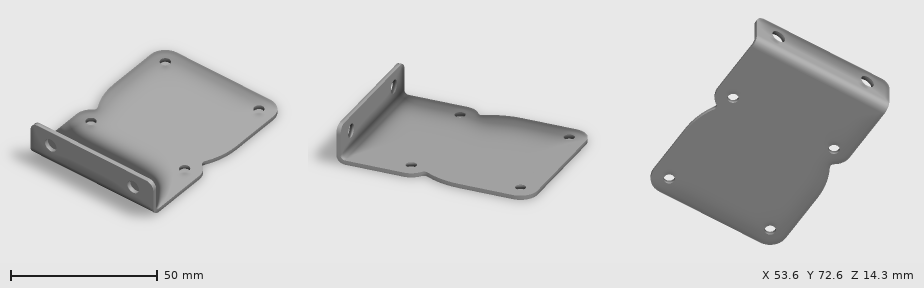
import cadquery as cq

width = 53.6
length = 72.55
height = 14.3
thickness = 1.6
bend_outer_radius = 3.2
bend_inner_radius = bend_outer_radius - thickness
flange_corner_radius = 3.1

plate_hole_diameter = 3.85
plate_hole_spacing = 40.9
corner_radius = (width - plate_hole_spacing) / 2
pattern_center_y = length - width / 2
notch_radius = 1.5

flange_hole_diameter = 5.1
flange_hole_spacing = 36.0
flange_hole_z = 8.55


def make_folded_sheet():
    """L-shaped sheet with concentric bend radii."""
    profile = (
        cq.Workplane("YZ")
        .polyline([(0, 0), (length, 0), (length, thickness), (thickness, thickness),
                   (thickness, height), (0, height)])
        .close()
        .extrude(width / 2, both=True)
    )
    bent = profile.edges(cq.selectors.NearestToPointSelector((0, 0, 0))).fillet(bend_outer_radius)
    inner_corner = cq.selectors.NearestToPointSelector((0, thickness, thickness))
    return bent.edges(inner_corner).fillet(bend_inner_radius)


def make_plate_outline():
    """Round middle joined to two rounded ends, with a blended notch on each side."""
    front_end_length = pattern_center_y - plate_hole_spacing / 2 + corner_radius
    front_end = (
        cq.Workplane("XY")
        .rect(width, 2 * front_end_length)
        .extrude(height)
        .edges("|Z and >Y")
        .fillet(corner_radius)
    )
    rear_end = (
        cq.Workplane("XY")
        .center(0, pattern_center_y)
        .rect(width, width)
        .extrude(height)
        .edges("|Z and >Y")
        .fillet(corner_radius)
    )
    below_center = (
        cq.Workplane("XY")
        .center(0, pattern_center_y - width / 2)
        .rect(2 * width, width)
        .extrude(height)
    )
    round_middle = cq.Workplane("XY").center(0, pattern_center_y).circle(width / 2).extrude(height)
    outline = rear_end.cut(below_center).union(round_middle).union(front_end)

    half_spacing = plate_hole_spacing / 2
    center_distance = half_spacing * 2**0.5
    along = (center_distance**2 + (width / 2) ** 2 - corner_radius**2) / (2 * center_distance)
    across = ((width / 2) ** 2 - along**2) ** 0.5
    notch_x = (along + across) / 2**0.5
    notch_y = pattern_center_y - (along - across) / 2**0.5
    for x in (-notch_x, notch_x):
        root = cq.selectors.NearestToPointSelector((x, notch_y, height / 2))
        outline = outline.edges("|Z").edges(root).fillet(notch_radius)
    return outline


def make_plate_holes():
    return (
        cq.Workplane("XY")
        .center(0, pattern_center_y)
        .rect(plate_hole_spacing, plate_hole_spacing, forConstruction=True)
        .vertices()
        .circle(plate_hole_diameter / 2)
        .extrude(thickness)
    )


def make_flange_holes():
    half_spacing = flange_hole_spacing / 2
    return (
        cq.Workplane("XZ")
        .pushPoints([(-half_spacing, flange_hole_z), (half_spacing, flange_hole_z)])
        .circle(flange_hole_diameter / 2)
        .extrude(-thickness)
    )


sheet = make_folded_sheet().edges("|Y and >Z").fillet(flange_corner_radius)
result = sheet.intersect(make_plate_outline()).cut(make_plate_holes()).cut(make_flange_holes())